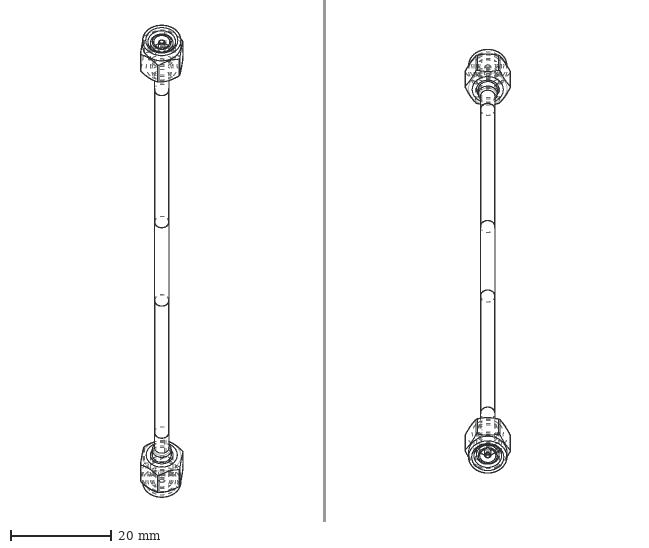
import cadquery as cq
import math

assembly_length = 144.27
connector_length = 16.2

hex_sides = 6
nut_across_flats = 7.94
nut_across_corners = 8.99
nut_length = 8.9
collar_radius = 3.83
collar_length = 1.75
front_chamfer_length = 0.6
rear_chamfer_length = 0.6
rear_bevel_length = 0.4
rear_face_radius = 3.1
nut_bore_radius = 2.75
nut_mouth_radius = 3.2
nut_bore_depth = 5.0

barrel_radius = 2.25
barrel_wall = 0.65
barrel_chamfer = 0.35
barrel_recess = 0.5
socket_depth = 2.5
pin_radius = 0.635
pin_chamfer = 0.2
neck_radius = 1.9
neck_end = 10.55
shoulder_radius = 1.72
shoulder_length = 0.4
ferrule_radius = 1.45

cable_radius = 1.4
label_radius = 1.45
label_length = 25.6

tip = assembly_length / 2
nut_rear = tip - nut_length
cable_end = tip - connector_length


def revolve(outline):
    """Solid of revolution about Z from (radius, height) points."""
    return cq.Workplane("XZ").polyline(outline).close().revolve(360, (0, 0), (0, 1))


def make_nut():
    """Upper coupling nut: a hexagon with flats on +X and -X, trimmed by a turned profile."""
    corner_radius = nut_across_corners / 2
    half_side_angle = 180 / hex_sides
    sharp_diameter = nut_across_flats / math.cos(math.radians(half_side_angle))
    hexagon = (
        cq.Workplane("XY")
        .workplane(offset=nut_rear)
        .polygon(hex_sides, sharp_diameter)
        .extrude(nut_length)
        .rotate((0, 0, 0), (0, 0, 1), half_side_angle)
    )
    bevel_top = nut_rear + rear_bevel_length
    collar_bottom = tip - collar_length
    bore_floor = tip - nut_bore_depth
    mouth_depth = nut_mouth_radius - nut_bore_radius
    turned_profile = revolve([
        (barrel_radius, nut_rear),
        (rear_face_radius, nut_rear),
        (collar_radius, bevel_top),
        (corner_radius, bevel_top + rear_chamfer_length),
        (corner_radius, collar_bottom - front_chamfer_length),
        (collar_radius, collar_bottom),
        (collar_radius, tip),
        (nut_mouth_radius, tip),
        (nut_bore_radius, tip - mouth_depth),
        (nut_bore_radius, bore_floor),
        (barrel_radius, bore_floor),
    ])
    return hexagon.intersect(turned_profile).solids()


def make_connector_body():
    """Upper connector body: ferrule, neck, barrel, and a centre pin standing in the socket."""
    neck_bottom = tip - neck_end
    face = tip - barrel_recess
    socket_radius = barrel_radius - barrel_wall
    socket_floor = face - socket_depth
    return revolve([
        (0, cable_end),
        (ferrule_radius, cable_end),
        (ferrule_radius, neck_bottom - 2 * shoulder_length),
        (shoulder_radius, neck_bottom - shoulder_length),
        (neck_radius, neck_bottom),
        (neck_radius, nut_rear),
        (barrel_radius, nut_rear),
        (barrel_radius, face - barrel_chamfer),
        (barrel_radius - barrel_chamfer, face),
        (socket_radius, face),
        (socket_radius, socket_floor),
        (pin_radius, socket_floor),
        (pin_radius, face - pin_chamfer),
        (pin_radius - pin_chamfer, face),
        (0, face),
    ])


def make_cable():
    """Cable between the two ferrules."""
    label_end = label_length / 2
    return revolve([
        (0, -cable_end),
        (cable_radius, -cable_end),
        (cable_radius, -label_end),
        (label_radius, -label_end),
        (label_radius, label_end),
        (cable_radius, label_end),
        (cable_radius, cable_end),
        (0, cable_end),
    ])


bodies = [make_cable().val()]
for turn in (0, 180):
    for plug_part in (make_nut(), make_connector_body()):
        bodies.append(plug_part.rotate((0, 0, 0), (1, 0, 0), turn).val())

result = cq.Compound.makeCompound(bodies)